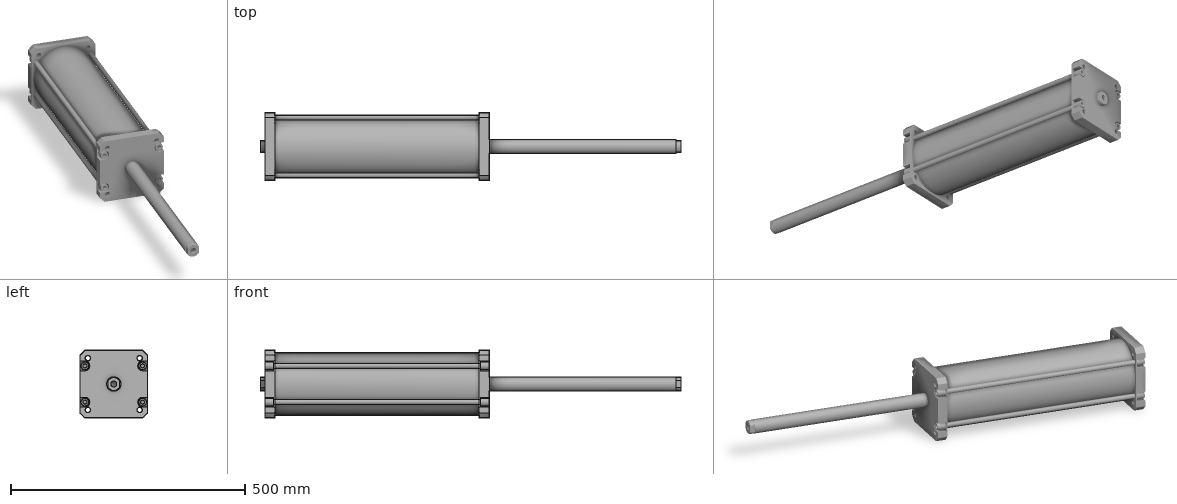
import cadquery as cq

total_length = 898.0
stub_length = 10.0
cap_thickness = 22.0
tube_length = 435.5
tube_start = stub_length + cap_thickness
tube_end = tube_start + tube_length
body_end = tube_end + cap_thickness

cap_size = 145.0
cap_corner_chamfer = 11.0
mount_hole_diameter = 11.0
mount_hole_inset = 17.0
mount_hole_offset = cap_size / 2 - mount_hole_inset

tube_diameter = 134.0
tube_wall = 4.0

tie_inset = 11.0
tie_y = cap_size / 2 - tie_inset
tie_z = 39.0
tie_diameter = 11.0
head_diameter = 16.0
slot_width = 21.0
slot_floor = 3.0
head_length = cap_thickness - slot_floor
socket_across_flats = 8.0
socket_depth = 7.0

rod_diameter = 30.5
neck_diameter = 30.0
neck_length = 11.0
neck_across_flats = 25.0
neck_chamfer = 1.0
end_hole_diameter = 13.0
end_hole_depth = 18.0
end_hole_tip = 4.0


def four_corners(y, z):
    """The points at (+-y, +-z)."""
    return [(side_y * y, side_z * z) for side_y in (-1, 1) for side_z in (-1, 1)]


tie_points = four_corners(tie_y, tie_z)
mount_points = four_corners(mount_hole_offset, mount_hole_offset)


def yz_plane(x):
    """Workplane at the given X, facing +X, with local axes along Y and Z."""
    return cq.Workplane("YZ", origin=(x, 0, 0))


def make_head_slots(x):
    """Four round-ended slots that open onto the +Y and -Y sides of a cap."""
    mouth_points = four_corners(tie_y + tie_inset / 2, tie_z)
    round_ends = yz_plane(x).pushPoints(tie_points).circle(slot_width / 2).extrude(head_length)
    mouths = yz_plane(x).pushPoints(mouth_points).rect(tie_inset, slot_width).extrude(head_length)
    return round_ends.union(mouths)


def make_cap(cap_x, slot_x):
    """A square end cap whose head slots start at slot_x."""
    plane = yz_plane(cap_x)
    cap = plane.rect(cap_size, cap_size).extrude(cap_thickness)
    cap = cap.edges("|X").chamfer(cap_corner_chamfer)
    mount_holes = plane.pushPoints(mount_points).circle(mount_hole_diameter / 2).extrude(cap_thickness)
    tie_holes = plane.pushPoints(tie_points).circle(tie_diameter / 2).extrude(cap_thickness)
    rod_hole = plane.circle(rod_diameter / 2).extrude(cap_thickness)
    return cap.cut(mount_holes).cut(tie_holes).cut(rod_hole).cut(make_head_slots(slot_x))


def make_tube():
    inner_radius = tube_diameter / 2 - tube_wall
    return yz_plane(tube_start).circle(tube_diameter / 2).circle(inner_radius).extrude(tube_length)


def make_tie_rod(y, z):
    """A tie rod with a flush socket head in each cap."""
    shank_length = body_end - stub_length
    tie_rod = yz_plane(stub_length).center(y, z).circle(tie_diameter / 2).extrude(shank_length)
    for head_x in (stub_length, body_end - head_length):
        head = yz_plane(head_x).center(y, z).circle(head_diameter / 2).extrude(head_length)
        tie_rod = tie_rod.union(head)
    for socket_x in (stub_length, body_end - socket_depth):
        hexagon = yz_plane(socket_x).center(y, z).polygon(6, socket_across_flats, circumscribed=True)
        tie_rod = tie_rod.cut(hexagon.extrude(socket_depth))
    return tie_rod


def make_end_hole():
    """A drilled hole with a conical tip, running in +X from the origin."""
    radius = end_hole_diameter / 2
    profile = [(0, 0), (0, radius), (end_hole_depth, radius), (end_hole_depth + end_hole_tip, 0)]
    return cq.Workplane("XY").polyline(profile).close().revolve(360, (0, 0, 0), (1, 0, 0))


def make_left_neck(length):
    """A neck with its chamfered end at the origin and flats facing +Y and -Y."""
    neck = yz_plane(0).circle(neck_diameter / 2).extrude(length).faces("<X").chamfer(neck_chamfer)
    flats = yz_plane(0).rect(neck_across_flats, neck_diameter).extrude(length)
    return neck.intersect(flats)


def make_piston_rod():
    """A rod through both caps, with a neck and a drilled hole at each end."""
    shank_length = total_length - stub_length - neck_length
    shank = yz_plane(stub_length).circle(rod_diameter / 2).extrude(shank_length)
    left_neck = make_left_neck(stub_length)
    right_neck = make_left_neck(neck_length).mirror("YZ").translate((total_length, 0, 0))
    left_hole = make_end_hole()
    right_hole = left_hole.mirror("YZ").translate((total_length, 0, 0))
    return shank.union(left_neck).union(right_neck).cut(left_hole).cut(right_hole)


left_cap = make_cap(stub_length, stub_length)
right_cap = make_cap(tube_end, tube_end + slot_floor)
tube = make_tube()
piston_rod = make_piston_rod()
tie_rods = [make_tie_rod(y, z) for y, z in tie_points]

result = cq.Compound.makeCompound(
    [left_cap.val(), right_cap.val(), tube.val(), piston_rod.val()] + [tie_rod.val() for tie_rod in tie_rods]
)